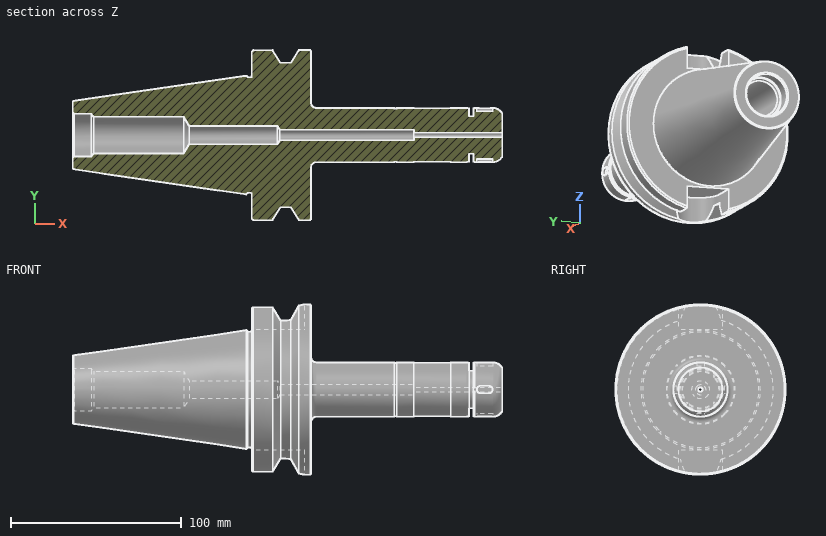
import cadquery as cq
import math


gauge_radius = 69.85 / 2
taper_ratio = 7 / 24
taper_length = 101.8
tail_chamfer_length = 0.7
tail_chamfer_height = 0.5
relief_radius = 34.0
relief_lead = 0.9
relief_fillet = 0.5

flange_radius = 50.0
flange_start = 3.0
flange_end = 38.0
flange_back_chamfer = 1.0
flange_front_chamfer = 0.7
groove_center = 23.0
groove_floor_radius = 42.5
groove_floor_width = 6.0
groove_wall_angle = 32.0

key_width = 25.7
key_floor_height = 35.3
key_end = 33.9
key_slot_count = 2

body_radius = 16.0
body_root_fillet = 3.0
body_end = 130.6
body_end_chamfer_length = 1.5
body_end_chamfer_height = 0.3
body_groove_start = 86.7
body_groove_end = 88.0
body_groove_depth = 0.3
waist_start = 98.1
waist_end = 119.9
waist_depth = 0.2

neck_radius = 22.2 / 2
nut_radius = 16.0
nut_start = 133.0
nut_end = 150.0
nut_back_chamfer = 0.9
nut_back_chamfer_height = 0.3
nut_round_start = 144.5
nut_face_radius = 13.5
nut_face_chamfer = 0.6

spanner_slot_width = 4.3
spanner_slot_start = 135.1
spanner_slot_end = 144.3
spanner_slot_depth = 2.0
spanner_slot_count = 4

pilot_radius = 25 / 2
pilot_depth = 11.0
pilot_mouth_chamfer = 0.8
thread_radius = 21.3 / 2
thread_chamfer = 1.35
thread_depth = 65.0
middle_radius = 10.5 / 2
middle_depth = 120.0
coolant_radius = 6 / 2
coolant_depth = 200.0
through_radius = 2.5 / 2
drill_half_angle = 59.0


def drill_tip(large_radius, small_radius):
    """Axial length of the cone a drill leaves between two bore radii."""
    return (large_radius - small_radius) / math.tan(math.radians(drill_half_angle))


def revolve_about_x(outline):
    return outline.close().revolve(360, (0, 0, 0), (1, 0, 0))


def make_shank():
    tail = -taper_length
    chamfer_x = tail + tail_chamfer_length
    chamfer_radius = gauge_radius + chamfer_x * taper_ratio / 2
    outline = (
        cq.Workplane("XY")
        .moveTo(tail, 0)
        .lineTo(tail, chamfer_radius - tail_chamfer_height)
        .lineTo(chamfer_x, chamfer_radius)
        .lineTo(0, gauge_radius)
        .lineTo(relief_lead, relief_radius)
        .lineTo(flange_start - relief_fillet, relief_radius)
        .radiusArc((flange_start, relief_radius + relief_fillet), -relief_fillet)
        .lineTo(flange_start, 0)
    )
    return revolve_about_x(outline)


def make_flange():
    floor_start = groove_center - groove_floor_width / 2
    floor_end = groove_center + groove_floor_width / 2
    wall_run = (flange_radius - groove_floor_radius) * math.tan(math.radians(groove_wall_angle))
    outline = (
        cq.Workplane("XY")
        .moveTo(flange_start, 0)
        .lineTo(flange_start, flange_radius - flange_back_chamfer)
        .lineTo(flange_start + flange_back_chamfer, flange_radius)
        .lineTo(floor_start - wall_run, flange_radius)
        .lineTo(floor_start, groove_floor_radius)
        .lineTo(floor_end, groove_floor_radius)
        .lineTo(floor_end + wall_run, flange_radius)
        .lineTo(flange_end - flange_front_chamfer, flange_radius)
        .lineTo(flange_end, flange_radius - flange_front_chamfer)
        .lineTo(flange_end, 0)
    )
    return revolve_about_x(outline)


def make_body():
    groove_radius = body_radius - body_groove_depth
    waist_radius = body_radius - waist_depth
    root_end = flange_end + body_root_fillet
    outline = (
        cq.Workplane("XY")
        .moveTo(flange_end, 0)
        .lineTo(flange_end, body_radius + body_root_fillet)
        .radiusArc((root_end, body_radius), -body_root_fillet)
        .lineTo(body_groove_start, body_radius)
        .lineTo(body_groove_start, groove_radius)
        .lineTo(body_groove_end, groove_radius)
        .lineTo(body_groove_end, body_radius)
        .lineTo(waist_start, body_radius)
        .lineTo(waist_start, waist_radius)
        .lineTo(waist_end, waist_radius)
        .lineTo(waist_end, body_radius)
        .lineTo(body_end - body_end_chamfer_length, body_radius)
        .lineTo(body_end, body_radius - body_end_chamfer_height)
        .lineTo(body_end, 0)
    )
    return revolve_about_x(outline)


def make_nut():
    round_end = nut_end - nut_face_chamfer
    round_length = round_end - nut_round_start
    round_drop = nut_radius - nut_face_radius
    round_radius = (round_length**2 + round_drop**2) / (2 * round_drop)
    outline = (
        cq.Workplane("XY")
        .moveTo(body_end, 0)
        .lineTo(body_end, neck_radius)
        .lineTo(nut_start, neck_radius)
        .lineTo(nut_start, nut_radius - nut_back_chamfer_height)
        .lineTo(nut_start + nut_back_chamfer, nut_radius)
        .lineTo(nut_round_start, nut_radius)
        .radiusArc((round_end, nut_face_radius), round_radius)
        .lineTo(nut_end, nut_face_radius - nut_face_chamfer)
        .lineTo(nut_end, 0)
    )
    return revolve_about_x(outline)


def make_key_slot():
    """Round-ended driving slot on the +Z side, open toward the taper."""
    half_width = key_width / 2
    arc_center = key_end - half_width
    return (
        cq.Workplane("XY", origin=(0, 0, key_floor_height))
        .moveTo(0, -half_width)
        .lineTo(arc_center, -half_width)
        .threePointArc((key_end, 0), (arc_center, half_width))
        .lineTo(0, half_width)
        .close()
        .extrude(flange_radius)
    )


def make_spanner_slot():
    """Pocket with round ends in the +Z side of the nut."""
    slot_length = spanner_slot_end - spanner_slot_start
    slot_middle = (spanner_slot_start + spanner_slot_end) / 2
    return (
        cq.Workplane("XY", origin=(slot_middle, 0, nut_radius - spanner_slot_depth))
        .slot2D(slot_length, spanner_slot_width)
        .extrude(nut_radius)
    )


def make_bore():
    tail = -taper_length
    pilot_end = tail + pilot_depth
    thread_end = tail + thread_depth
    middle_start = thread_end + drill_tip(thread_radius, middle_radius)
    middle_end = tail + middle_depth
    coolant_start = middle_end + drill_tip(middle_radius, coolant_radius)
    coolant_end = tail + coolant_depth
    outline = (
        cq.Workplane("XY")
        .moveTo(tail, 0)
        .lineTo(tail, pilot_radius + pilot_mouth_chamfer)
        .lineTo(tail + pilot_mouth_chamfer, pilot_radius)
        .lineTo(pilot_end, pilot_radius)
        .lineTo(pilot_end, thread_radius + thread_chamfer)
        .lineTo(pilot_end + thread_chamfer, thread_radius)
        .lineTo(thread_end, thread_radius)
        .lineTo(middle_start, middle_radius)
        .lineTo(middle_end, middle_radius)
        .lineTo(coolant_start, coolant_radius)
        .lineTo(coolant_end, coolant_radius)
        .lineTo(coolant_end, through_radius)
        .lineTo(nut_end, through_radius)
        .lineTo(nut_end, 0)
    )
    return revolve_about_x(outline)


def repeat_around_x(tool, count):
    for index in range(count):
        yield tool.rotate((0, 0, 0), (1, 0, 0), index * 360 / count)


result = make_shank().union(make_flange()).union(make_body()).union(make_nut())
for key_slot in repeat_around_x(make_key_slot(), key_slot_count):
    result = result.cut(key_slot)
for spanner_slot in repeat_around_x(make_spanner_slot(), spanner_slot_count):
    result = result.cut(spanner_slot)
result = result.cut(make_bore())